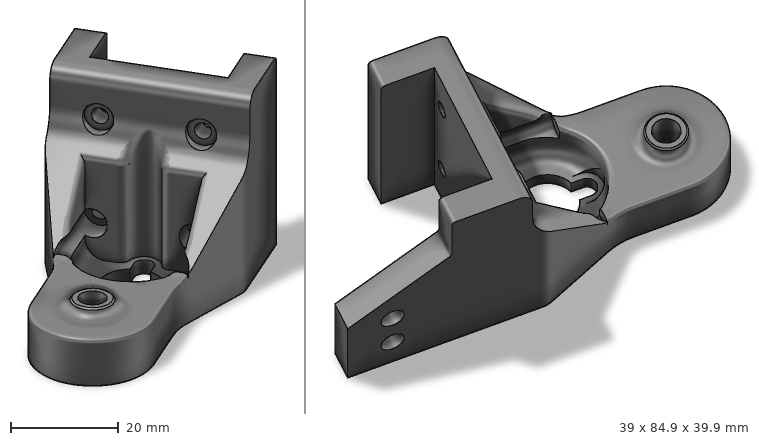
import cadquery as cq
import math

width = 39.0
height = 39.9
nose_radius = 12.0
length = 84.9
plate_top = 10.0
bottom_chamfer = 0.25

half_width = width / 2
arm_thickness = 6.0
tower_front = 35.5
tower_back = 51.9
web_back = 41.1
tower_front_round = 3.0
tower_back_round = 1.0
arm_back = length - nose_radius
arm_end_height = 16.9
arm_slope_angle = 30.0
arm_root_round = 1.0

slope_foot = 17.3
tower_blend = 8.0
plate_blend = 5.0

taper_back = 32.4
taper_front = 14.8
taper_back_round = 5.0
taper_front_round = 14.3
plate_edge_round = 1.0

pocket_center = 24.0
pocket_radius = 11.3
pocket_back = 31.4
pocket_floor = 3.0
pocket_floor_round = 4.0
pocket_rim_round = 1.3
pocket_back_rim_round = 2.0
bore_diameter = 12.0
slot_width = 4.0
slot_offset = 8.0
groove_width = 6.5
groove_edge_round = 2.0

boss_height = 2.3
boss_flare_radius = 3.0
boss_base_radius = 7.0
boss_bevel = 0.3
pivot_diameter = 5.4

screw_spacing = 20.0
screw_low = 10.45
screw_diameter = 3.3
counterbore_diameter = 6.0
counterbore_floor = 36.5
trough_front = 17.6
cross_hole_diameter = 4.7
cross_hole_y = 63.85
cross_hole_heights = (7.0, 14.9)


def block(x_range, y_range, z_range):
    """Axis-aligned box between the given limits."""
    sizes = [high - low for low, high in (x_range, y_range, z_range)]
    return cq.Workplane("XY").box(*sizes, centered=False).translate((x_range[0], y_range[0], z_range[0]))


def near_edges(solid, direction, x, y):
    """Edges along a direction whose centre lies at |x|, y."""
    def is_match(edge):
        center = edge.Center()
        return abs(abs(center.x) - x) < 0.1 and abs(center.y - y) < 0.1
    return solid.edges(direction).filter(is_match)


def side_profile():
    """Silhouette seen along X, extruded over the full width."""
    slope_top = plate_top + tower_front - slope_foot
    arm_root_height = arm_end_height + (arm_back - tower_back) * math.tan(math.radians(arm_slope_angle))
    points = [
        (-nose_radius, 0),
        (arm_back, 0),
        (arm_back, arm_end_height),
        (tower_back, arm_root_height),
        (tower_back, height),
        (tower_front, height),
        (tower_front, slope_top),
        (slope_foot, plate_top),
        (-nose_radius, plate_top),
    ]
    body = cq.Workplane("YZ").polyline(points).close().extrude(half_width, both=True)
    rounds = [
        (tower_back, arm_root_height, arm_root_round),
        (tower_back, height, tower_back_round),
        (tower_front, height, tower_front_round),
        (tower_front, slope_top, tower_blend),
        (slope_foot, plate_top, plate_blend),
    ]
    for y, z, radius in rounds:
        body = body.edges(cq.selectors.NearestToPointSelector((0, y, z))).fillet(radius)
    return body


def plan_profile():
    """Outline seen along Z, extruded over the full height."""
    outline = (
        cq.Workplane("XY")
        .moveTo(-nose_radius, 0)
        .threePointArc((0, -nose_radius), (nose_radius, 0))
        .lineTo(nose_radius, taper_front)
        .lineTo(half_width, taper_back)
        .lineTo(half_width, tower_back)
        .lineTo(half_width - arm_thickness, tower_back)
        .lineTo(half_width - arm_thickness, web_back)
        .lineTo(arm_thickness - half_width, web_back)
        .lineTo(arm_thickness - half_width, arm_back)
        .lineTo(-half_width, arm_back)
        .lineTo(-half_width, taper_back)
        .lineTo(-nose_radius, taper_front)
        .close()
        .extrude(height)
    )
    outline = near_edges(outline, "|Z", half_width, taper_back).fillet(taper_back_round)
    outline = near_edges(outline, "|Z", nose_radius, taper_front).fillet(taper_front_round)
    return outline.faces("<Z").chamfer(bottom_chamfer)


def round_plate_edge(solid):
    """Round the top outer edge of the plate, stopping where the troughs end."""
    front_region = block((-width, width), (-width, trough_front), (-0.85, height))
    plate = solid.intersect(front_region)

    def is_rim(edge):
        box = edge.BoundingBox()
        flat = box.zmax - box.zmin < 0.01 and abs(box.zmin - plate_top) < 0.01
        return flat and box.ymin < -0.85
    return solid.cut(front_region).union(plate.edges().filter(is_rim).fillet(plate_edge_round))


def keyhole_slot(slot_size, bottom):
    """Slot along Y about the pocket centre, open upwards."""
    return (
        cq.Workplane("XY", origin=(0, pocket_center, bottom))
        .slot2D(2 * slot_offset + slot_size, slot_size, 90)
        .extrude(height)
    )


def pocket():
    """U-shaped pocket with a rounded floor edge, and a groove running up its back wall."""
    well = (
        cq.Workplane("XY", origin=(0, pocket_center, pocket_floor))
        .slot2D(6 * pocket_radius, 2 * pocket_radius, 90)
        .extrude(height)
        .translate((0, 2 * pocket_radius, 0))
        .faces("<Z").edges().fillet(pocket_floor_round)
    )
    behind = block((-width, width), (pocket_back, length), (0, 2 * height))
    cutter = well.cut(behind).union(keyhole_slot(groove_width, pocket_floor))

    def is_groove_corner(edge):
        center = edge.Center()
        return abs(center.y - pocket_back) < 0.1 and abs(center.x) < groove_width / 2 + 0.1
    return cutter.edges("|Z").filter(is_groove_corner).fillet(groove_edge_round)


def is_pocket_rim(edge):
    """Edge of the pocket mouth."""
    box = edge.BoundingBox()
    within_x = max(-box.xmin, box.xmax) < pocket_radius + 0.1
    within_y = box.ymin > pocket_center - pocket_radius - 0.1 and box.ymax < tower_front - 0.1
    return within_x and within_y and box.zmin > plate_top - 0.1


def is_pocket_side_rim(edge):
    """Edge of the pocket mouth, apart from its back wall."""
    return is_pocket_rim(edge) and edge.BoundingBox().ymin < pocket_back - 0.1


def boss():
    """Pivot boss with a concave flare at its foot and a bevelled top edge."""
    def flare_radius_at(rise):
        return boss_base_radius - math.sqrt(boss_flare_radius**2 - (boss_flare_radius - rise)**2)

    flare_top = boss_height - boss_bevel
    top_radius = flare_radius_at(flare_top)
    return (
        cq.Workplane("XZ", origin=(0, 0, plate_top))
        .lineTo(boss_base_radius, 0)
        .threePointArc((flare_radius_at(flare_top / 2), flare_top / 2), (top_radius, flare_top))
        .lineTo(top_radius - boss_bevel, boss_height)
        .lineTo(0, boss_height)
        .close()
        .revolve(360, (0, 0, 0), (0, 1, 0))
    )


def pivot_hole():
    """Hole down the boss axis."""
    return cq.Workplane("XY").circle(pivot_diameter / 2).extrude(height)


def keyhole():
    """Round bore with a slot on each side, through the pocket floor."""
    bore = cq.Workplane("XY", origin=(0, pocket_center, 0)).circle(bore_diameter / 2).extrude(height)
    bore = bore.intersect(block((-width, width), (0, pocket_back), (0, pocket_floor)))
    slot = keyhole_slot(slot_width, 0)
    return slot.union(bore)


def cylinder_along_y(diameter, x, z, y_start, y_end):
    """Cylinder parallel to Y between two positions."""
    return cq.Workplane("XZ", origin=(x, y_start, z)).circle(diameter / 2).extrude(y_start - y_end)


def screw_holes():
    """Four counterbored screw holes; the lower pair needs a trough for access."""
    cutter = cq.Workplane("XY")
    for x in (-screw_spacing / 2, screw_spacing / 2):
        for z in (screw_low, screw_low + screw_spacing):
            cutter = cutter.union(cylinder_along_y(screw_diameter, x, z, trough_front, web_back))
            cutter = cutter.union(cylinder_along_y(counterbore_diameter, x, z, trough_front, counterbore_floor))
    return cutter


def cross_holes():
    """Pair of holes through the long arm."""
    centers = [(cross_hole_y, z) for z in cross_hole_heights]
    return (
        cq.Workplane("YZ", origin=(-half_width, 0, 0))
        .pushPoints(centers)
        .circle(cross_hole_diameter / 2)
        .extrude(arm_thickness)
    )


body = side_profile().intersect(plan_profile())
body = round_plate_edge(body)
body = body.cut(pocket())
body = body.edges().filter(is_pocket_side_rim).fillet(pocket_rim_round)
body = body.edges().filter(is_pocket_rim).fillet(pocket_back_rim_round)
body = body.union(boss())
for cutter in (pivot_hole(), keyhole(), screw_holes(), cross_holes()):
    body = body.cut(cutter)

result = body